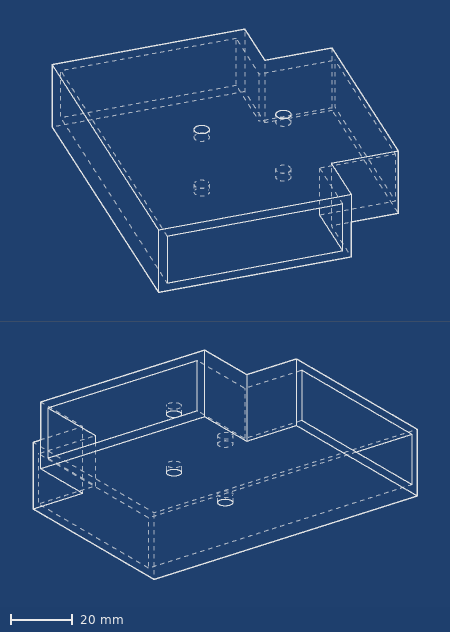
import cadquery as cq

length = 106.0
duct_width = 66.0
total_depth = 89.0
height = 24.0
wall = 3.0
hole_diameter = 5.0
hole_spacing = 28.0

bore_width = duct_width - 2 * wall
bore_height = height - 2 * wall
duct_center_y = duct_width / 2
branch_reach = total_depth - duct_center_y


def tee(through_width, branch_width, tee_height):
    """Through bar along X joined to a branch that runs from its centre line to +Y."""
    bar = cq.Workplane("XY").box(length, through_width, tee_height)
    branch = (
        cq.Workplane("XY")
        .box(branch_width, branch_reach, tee_height)
        .translate((0, branch_reach / 2, 0))
    )
    return bar.union(branch).translate((0, duct_center_y, height / 2))


shell = tee(duct_width, duct_width, height).cut(tee(bore_width, bore_width, bore_height))

holes = (
    cq.Workplane("XY")
    .pushPoints([(0, duct_center_y), (0, duct_center_y + hole_spacing)])
    .circle(hole_diameter / 2)
    .extrude(height)
)

result = shell.cut(holes)